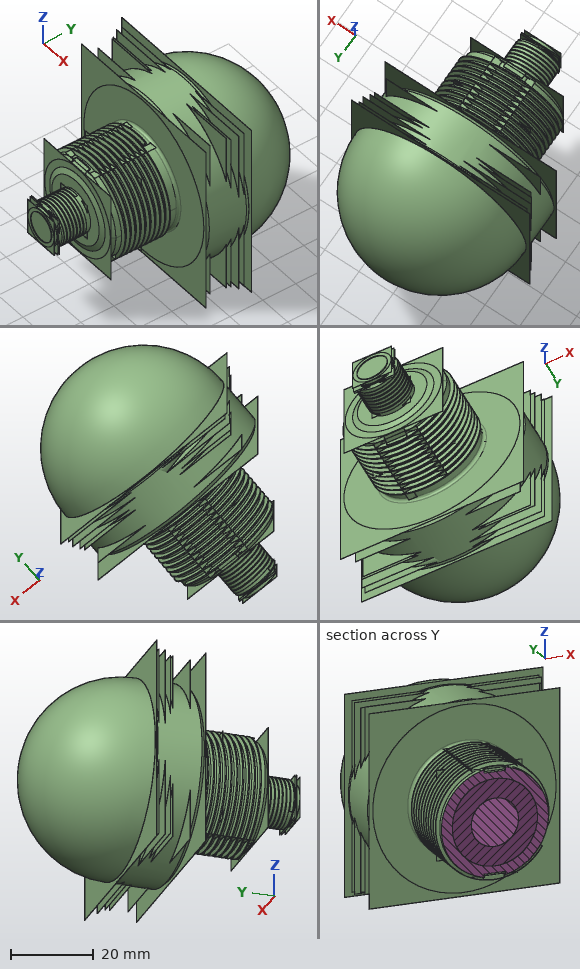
import cadquery as cq


DOME_R = 25.0
LENS_RIM = 0.75
BASE_DEPTH = 13.0
BASE_CHAMFER = 1.0
TOTAL_DEPTH = 44.18
SHEET_T = 0.05

NECK_END = 33.1
NECK_ROOT_R = 14.1
NECK_CREST_R = 15.0
NECK_CHAMFER = 1.0
NECK_FLARE = 0.8
NECK_PITCH = 1.5
NECK_THREAD_START = 15.2
NECK_THREAD_TURNS = 10.7
NECK_RIDGE_BASE = 1.1
NECK_RIDGE_CREST = 0.3
THREAD_START_ANGLE = 76.0
THREAD_SINK = 0.15

KEY_W = 5.5
KEY_FLOOR = 13.0
KEY_LENGTH = 1.9

SIDE_SHEET_W = 11.8
SIDE_SHEET_Z = 13.62
SIDE_SHEET_START = 13.7
SIDE_SHEET_END = 32.3

PLUG_R = 11.1
PLUG_LIP_R = 9.5
PLUG_RISE = 0.6
PLUG_SEAT = 28.0
PLUG_REAR = NECK_END + PLUG_RISE

CONN_ROOT_R = 6.1
CONN_CREST_R = 6.22
CONN_SHOULDER = 43.0
CONN_CHAMFER = 0.6
CONN_PITCH = 1.0
CONN_THREAD_START = 34.6
CONN_THREAD_TURNS = 7.4
CONN_RIDGE_BASE = 0.9
CONN_RIDGE_CREST = 0.75
TIP_R = 5.2
TIP_RECESS_R = 4.15
TIP_RECESS_DEPTH = 0.2

LENS_SHEET = (0.0, 52.03, 52.0)
BASE_SHEETS = [
    (1.1, 49.0, 49.0),
    (2.7, 49.0, 49.0),
    (4.4, 47.2, 47.2),
    (5.25, 45.7, 48.0),
    (9.85, 45.0, 47.6),
    (BASE_DEPTH - SHEET_T, 2 * DOME_R, 2 * DOME_R),
]
NECK_SHEETS = [
    (22.2, 22.4, 23.2),
    (NECK_END - SHEET_T, 27.0, 26.56),
]
CONN_SHEETS = [
    (34.1, 10.6, 10.6),
    (42.75, 11.12, 11.12),
    (43.2, 11.12, 11.12),
    (TOTAL_DEPTH - SHEET_T, 10.7, 10.7),
]


def cylinder(radius, start, end):
    return cq.Workplane("XY").workplane(offset=start).circle(radius).extrude(end - start)


def sheet(depth, size_x, size_z):
    return cq.Workplane("XY").workplane(offset=depth).rect(size_x, size_z).extrude(SHEET_T)


def thread_ridge(root_r, crest_r, pitch, turns, start, base_w, crest_w):
    """Right-hand helical ridge with a trapezoid section, sunk a little into its core."""
    inner_r = root_r - THREAD_SINK
    helix = cq.Workplane(obj=cq.Wire.makeHelix(pitch, pitch * turns, inner_r))
    section = cq.Workplane("XZ").polyline([
        (inner_r, -base_w / 2),
        (crest_r, -crest_w / 2),
        (crest_r, crest_w / 2),
        (inner_r, base_w / 2),
    ]).close()
    ridge = section.sweep(helix, isFrenet=True)
    return ridge.rotate((0, 0, 0), (0, 0, 1), THREAD_START_ANGLE).translate((0, 0, start))


def make_lens():
    ball = cq.Workplane("XY").sphere(DOME_R)
    front_half = cylinder(2 * DOME_R, -2 * DOME_R, 0)
    dome = ball.intersect(front_half)
    return dome.union(cylinder(DOME_R, 0, LENS_RIM)).union(sheet(*LENS_SHEET))


def make_housing():
    base = cylinder(DOME_R, LENS_RIM, BASE_DEPTH).faces(">Z").edges().chamfer(BASE_CHAMFER)
    neck = cylinder(NECK_ROOT_R, BASE_DEPTH, NECK_END).faces(">Z").edges().chamfer(NECK_CHAMFER)
    flare_ring = (
        cq.Workplane("XZ")
        .moveTo(NECK_ROOT_R, BASE_DEPTH)
        .lineTo(NECK_ROOT_R + NECK_FLARE, BASE_DEPTH)
        .radiusArc((NECK_ROOT_R, BASE_DEPTH + NECK_FLARE), NECK_FLARE)
        .close()
        .revolve(360, (0, 0, 0), (0, 1, 0))
    )
    body = base.union(neck).union(flare_ring)
    body = body.union(thread_ridge(
        NECK_ROOT_R, NECK_CREST_R, NECK_PITCH, NECK_THREAD_TURNS,
        NECK_THREAD_START, NECK_RIDGE_BASE, NECK_RIDGE_CREST,
    ), clean=False)
    for side in (1, -1):
        keyway = (
            cq.Workplane("XY")
            .box(KEY_W, NECK_CREST_R - KEY_FLOOR, KEY_LENGTH)
            .translate((0, side * (NECK_CREST_R + KEY_FLOOR) / 2, NECK_END - KEY_LENGTH / 2))
        )
        side_sheet = (
            cq.Workplane("XY")
            .box(SIDE_SHEET_W, SHEET_T, SIDE_SHEET_END - SIDE_SHEET_START)
            .translate((0, side * SIDE_SHEET_Z, (SIDE_SHEET_START + SIDE_SHEET_END) / 2))
        )
        body = body.cut(keyway, clean=False).union(side_sheet, clean=False)
    for placement in BASE_SHEETS + NECK_SHEETS:
        body = body.union(sheet(*placement), clean=False)
    return body.cut(cylinder(PLUG_R, PLUG_SEAT, NECK_END), clean=False)


def make_plug():
    return (
        cq.Workplane("XZ")
        .polyline([
            (CONN_ROOT_R, PLUG_SEAT),
            (PLUG_R, PLUG_SEAT),
            (PLUG_R, NECK_END),
            (PLUG_LIP_R, PLUG_REAR),
            (CONN_ROOT_R, PLUG_REAR),
        ])
        .close()
        .revolve(360, (0, 0, 0), (0, 1, 0))
    )


def make_connector():
    barrel = cylinder(CONN_ROOT_R, PLUG_SEAT, CONN_SHOULDER)
    barrel = barrel.faces(">Z").edges().chamfer(CONN_CHAMFER)
    body = barrel.union(cylinder(TIP_R, CONN_SHOULDER, TOTAL_DEPTH))
    body = body.union(thread_ridge(
        CONN_ROOT_R, CONN_CREST_R, CONN_PITCH, CONN_THREAD_TURNS,
        CONN_THREAD_START, CONN_RIDGE_BASE, CONN_RIDGE_CREST,
    ), clean=False)
    for placement in CONN_SHEETS:
        body = body.union(sheet(*placement), clean=False)
    return body.cut(cylinder(TIP_RECESS_R, TOTAL_DEPTH - TIP_RECESS_DEPTH, TOTAL_DEPTH), clean=False)


def turn_to_y(body):
    """Turn local +Z (depth) to -Y and local +Y to +Z."""
    return body.rotate((0, 0, 0), (1, 0, 0), 90)


lens = turn_to_y(make_lens())
housing = turn_to_y(make_housing())
plug = turn_to_y(make_plug())
connector = turn_to_y(make_connector())

result = cq.Compound.makeCompound([lens.val(), housing.val(), plug.val(), connector.val()])